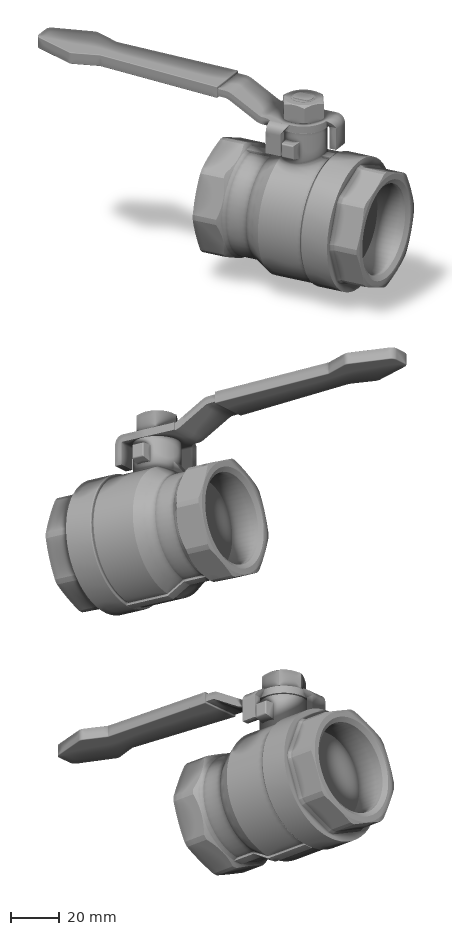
import cadquery as cq
import math


CUT = 319.0

half_length = 38.5
neck_radius = 23.0
neck_start = -23.8
neck_end = -14.7
body_radius = 27.6
body_start = -6.7
body_end = 12.8
groove_radius = 27.1
union_radius = 28.47
union_edge = 0.3
union_start = 13.5
union_end = 25.8

octagon_flats = 48.0
octagon_corner_radius = 25.5
left_octagon_end = -27.1
shoulder_length = 1.8
shoulder_rise = 0.8
end_face_radius = 23.8
end_chamfer_length = 0.5
collar_length = 1.5
collar_rise = 0.8

bore_radius = 19.5
bore_mouth_radius = 21.4
bore_depth = 14.4
mouth_depth = 1.5

rib_width = 4.5
rib_neck_height = 24.0
rib_housing_height = 29.7

housing_radius = 9.97
housing_top = 39.9
housing_fillet = 0.8
gland_radius = 7.2
lug_root_width = 6.2
lug_tip_width = 5.6
lug_top = 36.0
lug_bottom = 28.9
lug_tip_bottom = 30.0
lug_reach = 14.2
lug_tip_fillet = 0.6

lever_bottom = 40.2
lever_thickness = 3.2
lever_half_width = 9.0
plate_back = 9.7
plate_nose_radius = 10.5
lower_bend_x = -15.0
upper_bend_x = -29.8
upper_bend_top = 51.7
arm_bend_radius = 4.1
arm_overlap = 3.2
flare_left = -10.0
flare_middle = (-11.5, -9.4)

tab_reach = 14.2
tab_bottom = 30.3
tab_bend_radius = 3.8
tab_flare = 2.2
end_tab_front = 1.9
side_tab_right = -3.2

overall_length = 159.5
grip_right = -35.1
grip_waist_x = -90.3
grip_flare_x = -101.8
grip_tip = half_length - overall_length
grip_right_half_width = 9.33
grip_waist_half_width = 7.5
grip_flare_half_width = 12.0
grip_tip_half_width = 5.1
grip_corner_radius = 2.9
grip_edge_fillet = 0.3
grip_top_right = 53.0
grip_top_tip = 56.23
grip_thickness = 5.1

nut_flats = 16.5
nut_height = 8.5
nut_chamfer_height = 1.0
nut_face_radius = 7.8
stem_radius = 5.0
stem_rim = 0.2
stem_tip_radius = 4.3
stem_tip_flats = 6.0
stem_tip_height = 0.5

lever_top = lever_bottom + lever_thickness
grip_slope = (grip_top_tip - grip_top_right) / (grip_right - grip_tip)


def revolve_about_x(points):
    """Turn an outline of (x, radius) points about the flow axis."""
    return cq.Workplane("XY").polyline(points).close().revolve(360, (0, 0, 0), (1, 0, 0))


def side_plate(points, width):
    """Extrude an outline of (x, z) points evenly to both sides of Y = 0."""
    return cq.Workplane("XZ").polyline(points).close().extrude(width / 2, both=True)


def cylinder(radius, bottom, top):
    """Upright cylinder on the stem axis."""
    return cq.Workplane("XY", origin=(0, 0, bottom)).circle(radius).extrude(top - bottom)


def octagon_prism(x_start, x_end, flats, taper=0):
    """Octagon along X with corners pointing up and sideways."""
    across_corners = flats / math.cos(math.pi / 8)
    return (
        cq.Workplane("YZ", origin=(x_start, 0, 0))
        .polygon(8, across_corners)
        .extrude(x_end - x_start, taper=taper)
    )


def make_turned_body():
    return revolve_about_x([
        (neck_start, 0),
        (neck_start, neck_radius),
        (neck_end, neck_radius),
        (body_start, body_radius),
        (body_end, body_radius),
        (body_end, groove_radius),
        (union_start, groove_radius),
        (union_start, union_radius - union_edge),
        (union_start + union_edge, union_radius),
        (union_end, union_radius),
        (union_end, 0),
    ])


def make_left_end():
    blank = revolve_about_x([
        (-half_length, 0),
        (-half_length, end_face_radius),
        (-half_length + end_chamfer_length, octagon_corner_radius),
        (left_octagon_end, octagon_corner_radius),
        (left_octagon_end + shoulder_length, neck_radius + shoulder_rise),
        (neck_start, neck_radius),
        (neck_start, 0),
    ])
    return octagon_prism(-half_length, neck_start, octagon_flats).intersect(blank)


def make_right_end():
    blank = revolve_about_x([
        (union_end, 0),
        (union_end, octagon_corner_radius + collar_rise),
        (union_end + collar_length, octagon_corner_radius),
        (half_length - end_chamfer_length, octagon_corner_radius),
        (half_length, end_face_radius),
        (half_length, 0),
    ])
    collar = octagon_prism(
        union_end,
        union_end + collar_length,
        octagon_flats + 2 * collar_rise,
        math.degrees(math.atan2(collar_rise, collar_length)),
    )
    return octagon_prism(union_end, half_length, octagon_flats).union(collar).intersect(blank)


def make_bottom_rib():
    return side_plate([
        (left_octagon_end, 0),
        (left_octagon_end, -rib_neck_height),
        (neck_end, -rib_neck_height),
        (body_start, -union_radius),
        (union_start, -union_radius),
        (union_start, 0),
    ], rib_width)


def make_top_rib():
    return side_plate([
        (left_octagon_end, 0),
        (left_octagon_end, rib_neck_height),
        (neck_end, rib_neck_height),
        (-housing_radius, rib_housing_height),
        (0, rib_housing_height),
        (0, union_radius),
        (union_start, union_radius),
        (union_start, 0),
    ], rib_width)


def make_lugs():
    """Bar through the housing whose ends stand out as lugs, narrowing towards their tips."""
    bar = (
        cq.Workplane("YZ")
        .polyline([
            (-lug_reach, lug_top),
            (lug_reach, lug_top),
            (lug_reach, lug_tip_bottom),
            (housing_radius, lug_bottom),
            (-housing_radius, lug_bottom),
            (-lug_reach, lug_tip_bottom),
        ])
        .close()
        .extrude(lug_root_width / 2, both=True)
    )
    plan = (
        cq.Workplane("XY")
        .polyline([
            (lug_tip_width / 2, lug_reach),
            (lug_root_width / 2, housing_radius),
            (lug_root_width / 2, -housing_radius),
            (lug_tip_width / 2, -lug_reach),
            (-lug_tip_width / 2, -lug_reach),
            (-lug_root_width / 2, -housing_radius),
            (-lug_root_width / 2, housing_radius),
            (-lug_tip_width / 2, lug_reach),
        ])
        .close()
        .extrude(CUT)
    )
    return bar.intersect(plan).faces("<Y or >Y").edges().fillet(lug_tip_fillet)


def make_socket(side):
    """Blind socket cutter; side is -1 for the left end, 1 for the right end."""
    return revolve_about_x([
        (side * half_length, 0),
        (side * half_length, bore_mouth_radius),
        (side * (half_length - mouth_depth), bore_radius),
        (side * (half_length - bore_depth), bore_radius),
        (side * (half_length - bore_depth), 0),
    ])


def make_lever_sheet():
    """Flat plate, sloped arm and short tongue that ends inside the grip."""
    tongue_end = grip_right - arm_overlap
    tongue_top = upper_bend_top + (upper_bend_x - tongue_end) * grip_slope
    arm_angle = math.atan2(upper_bend_top - lever_top, lower_bend_x - upper_bend_x)
    miter = lever_thickness * math.tan(arm_angle / 2)
    sheet = side_plate([
        (plate_nose_radius, lever_top),
        (lower_bend_x, lever_top),
        (upper_bend_x, upper_bend_top),
        (tongue_end, tongue_top),
        (tongue_end, tongue_top - lever_thickness),
        (upper_bend_x - miter, upper_bend_top - lever_thickness),
        (lower_bend_x - miter, lever_bottom),
        (plate_nose_radius, lever_bottom),
    ], CUT)
    inside_corners = [(upper_bend_x - miter, upper_bend_top - lever_thickness), (lower_bend_x, lever_top)]
    outside_corners = [(upper_bend_x, upper_bend_top), (lower_bend_x - miter, lever_bottom)]
    for corners, radius in (
        (inside_corners, arm_bend_radius),
        (outside_corners, arm_bend_radius + lever_thickness),
    ):
        for x, z in corners:
            corner = cq.selectors.NearestToPointSelector((x, 0, z))
            sheet = sheet.edges("|Y").edges(corner).fillet(radius)

    nose_start = end_tab_front - tab_flare
    nose_x = math.sqrt(plate_nose_radius**2 - nose_start**2)
    nose_diagonal = plate_nose_radius * math.sqrt(0.5)
    plan = (
        cq.Workplane("XY")
        .moveTo(tongue_end, lever_half_width)
        .lineTo(lower_bend_x, lever_half_width)
        .lineTo(lower_bend_x, plate_back)
        .lineTo(nose_x, plate_back)
        .lineTo(nose_x, nose_start)
        .threePointArc((nose_diagonal, -nose_diagonal), (0, -plate_nose_radius))
        .lineTo(flare_left, -plate_nose_radius)
        .threePointArc(flare_middle, (lower_bend_x, -lever_half_width))
        .lineTo(tongue_end, -lever_half_width)
        .close()
        .extrude(CUT)
    )
    return sheet.intersect(plan)


def make_fold(plane, direction):
    """Long strip folded down from the plate; direction is its side of the stem axis."""
    outer = direction * tab_reach
    inner = direction * (tab_reach - lever_thickness)
    bend_x = direction * (tab_reach - tab_bend_radius)
    bend_z = lever_top - tab_bend_radius
    inner_radius = tab_bend_radius - lever_thickness
    outer_offset = tab_bend_radius * math.sqrt(0.5)
    inner_offset = inner_radius * math.sqrt(0.5)
    root = direction * housing_radius
    return (
        cq.Workplane(plane)
        .moveTo(root, lever_top)
        .lineTo(bend_x, lever_top)
        .threePointArc((bend_x + direction * outer_offset, bend_z + outer_offset), (outer, bend_z))
        .lineTo(outer, tab_bottom)
        .lineTo(inner, tab_bottom)
        .lineTo(inner, bend_z)
        .threePointArc((bend_x + direction * inner_offset, bend_z + inner_offset), (bend_x, lever_bottom))
        .lineTo(root, lever_bottom)
        .close()
        .extrude(CUT / 2, both=True)
    )


def make_tab_outline(plane, straight_edge, flared_edge):
    """Prism of a tab seen square on, widening through the bend on its flared edge."""
    flared_root = flared_edge + math.copysign(tab_flare, flared_edge - straight_edge)
    return (
        cq.Workplane(plane)
        .polyline([
            (straight_edge, tab_bottom),
            (flared_edge, tab_bottom),
            (flared_edge, lever_bottom),
            (flared_root, lever_top),
            (straight_edge, lever_top),
        ])
        .close()
        .extrude(CUT / 2, both=True)
    )


def make_lever():
    end_tab = make_fold("XZ", 1).intersect(make_tab_outline("YZ", plate_back, end_tab_front))
    side_tab = make_fold("YZ", -1).intersect(make_tab_outline("XZ", flare_left, side_tab_right))
    return make_lever_sheet().union(end_tab).union(side_tab)


def make_grip():
    half_plan = [
        (grip_right, grip_right_half_width),
        (grip_waist_x, grip_waist_half_width),
        (grip_flare_x, grip_flare_half_width),
        (grip_tip, grip_tip_half_width),
    ]
    other_half = [(x, -y) for x, y in reversed(half_plan)]
    plan = cq.Workplane("XY").polyline(half_plan + other_half).close().extrude(CUT)
    rounded = cq.selectors.BoxSelector((-CUT, -CUT, 0), (grip_flare_x + grip_corner_radius, CUT, CUT))
    plan = plan.edges("|Z").edges(rounded).fillet(grip_corner_radius)
    side = side_plate([
        (grip_right, grip_top_right),
        (grip_tip, grip_top_tip),
        (grip_tip, grip_top_tip - grip_thickness),
        (grip_right, grip_top_right - grip_thickness),
    ], CUT)
    return plan.intersect(side).faces("<Z or >Z").edges().fillet(grip_edge_fillet)


def make_nut():
    across_corners = nut_flats / math.cos(math.pi / 6)
    nut = cq.Workplane("XY", origin=(0, 0, lever_top)).polygon(6, across_corners).extrude(nut_height)
    nut_top = lever_top + nut_height
    rounding = (
        cq.Workplane("XZ")
        .polyline([
            (0, lever_top),
            (nut_face_radius, lever_top),
            (across_corners / 2, lever_top + nut_chamfer_height),
            (across_corners / 2, nut_top - nut_chamfer_height),
            (nut_face_radius, nut_top),
            (0, nut_top),
        ])
        .close()
        .revolve(360, (0, 0, 0), (0, 1, 0))
    )
    return nut.intersect(rounding)


def make_stem():
    nut_top = lever_top + nut_height
    stem = cylinder(stem_radius, housing_top, nut_top + stem_rim)
    tip = cylinder(stem_tip_radius, nut_top, nut_top + stem_tip_height)
    flats = cq.Workplane("XY").rect(CUT, stem_tip_flats).extrude(CUT)
    return stem.union(tip.intersect(flats))


body = make_turned_body().union(cylinder(housing_radius, 0, housing_top))
joint = cq.selectors.BoxSelector(
    (-housing_radius, -housing_radius, neck_radius),
    (housing_radius, housing_radius, union_radius),
)
body = body.edges(joint).edges("not %CIRCLE").fillet(housing_fillet)
body = body.union(cylinder(gland_radius, housing_top, lever_bottom))

body = body.union(make_left_end()).union(make_right_end())
body = body.union(make_bottom_rib()).union(make_top_rib()).union(make_lugs())
for side in (-1, 1):
    body = body.cut(make_socket(side))

result = body.union(make_lever()).union(make_grip()).union(make_nut()).union(make_stem())